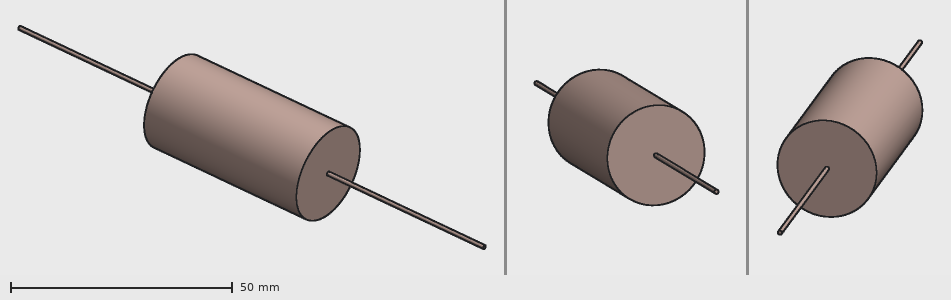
import cadquery as cq

overall_length = 134.0
case_length = 44.0
case_diameter = 23.0
lead_diameter = 1.0


def x_cylinder(diameter, length):
    """Cylinder along the X axis, centred on the origin."""
    return cq.Workplane("YZ", origin=(-length / 2, 0, 0)).circle(diameter / 2).extrude(length)


def make_lead():
    """Straight wire running the full length through the case."""
    return x_cylinder(lead_diameter, overall_length)


def make_case():
    """Cylindrical capacitor case with an axial bore that fits the lead."""
    bore = x_cylinder(lead_diameter, case_length)
    return x_cylinder(case_diameter, case_length).cut(bore)


case = make_case()
lead = make_lead()

result = cq.Compound.makeCompound([case.val(), lead.val()])